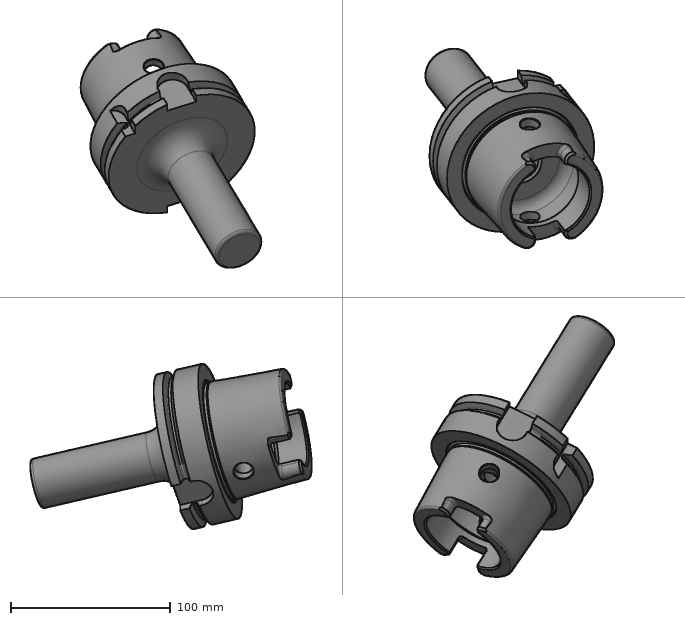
import cadquery as cq
import math

total_length = 170.0

taper_length = 50.0
taper_slope = 0.05
taper_end_x = 47.1
taper_end_radius = 37.9
taper_tip_fillet = 1.5
neck_step = 0.3
neck_start_x = 48.1
neck_radius = taper_end_radius - neck_step

recess_radius = 39.6
recess_depth = 1.5

flange_radius = 50.0
flange_end_x = 79.0
groove_start_x = 66.5
groove_end_x = 73.1
groove_floor_start_x = 68.2
groove_floor_end_x = 71.2
groove_radius = 45.9
groove_fillet = 1.0

shank_radius = 16.0
shank_root_fillet = 15.0
shank_tip_fillet = 2.0

bore_radius = 26.5
bore_chamfer = 1.0
clamp_edge_x = 19.4
undercut_radius = 31.5
bore_floor_x = 46.2
bore_floor_fillet = 6.8
clamp_cone_angle = 60.0

socket_radius = 11.0
socket_chamfer = 1.7
socket_depth = 8.5

slot_half_width = 9.9
slot_depth_top = 10.0
slot_depth_bottom = 15.0
slot_flare_radius = 5.1
slot_flare_start_z = 26.9
slot_floor_fillet = 2.0
slot_mouth_chamfer = 1.5
slot_mouth_angle = 45.0

cross_hole_x = 34.7
cross_hole_radius = 6.1
cross_hole_chamfer = 0.3

notch_start_x = 54.9
notch_half_width = 9.9
notch_floor_z = 43.4
corner_notch_offset = 31.8
corner_notch_radius = 7.6

margin = 8.5


def revolve_about_x(profile):
    """Close a half profile drawn in XY and turn it about the X axis."""
    return profile.close().revolve(360, (0, 0, 0), (1, 0, 0))


def holder_body():
    """Solid turned shape: taper, neck, flange and shank."""
    tip_radius = taper_end_radius - taper_slope * taper_end_x
    shank_start_x = flange_end_x + shank_root_fillet
    arc_mid = shank_root_fillet * (1 - math.sqrt(0.5))
    profile = (
        cq.Workplane("XY")
        .moveTo(0, 0)
        .lineTo(0, tip_radius)
        .lineTo(taper_end_x, taper_end_radius)
        .lineTo(neck_start_x, neck_radius)
        .lineTo(taper_length, neck_radius)
        .lineTo(taper_length + recess_depth, neck_radius + recess_depth)
        .lineTo(taper_length + recess_depth, recess_radius)
        .lineTo(taper_length, recess_radius)
        .lineTo(taper_length, flange_radius)
        .lineTo(flange_end_x, flange_radius)
        .lineTo(flange_end_x, shank_radius + shank_root_fillet)
        .threePointArc(
            (flange_end_x + arc_mid, shank_radius + arc_mid),
            (shank_start_x, shank_radius),
        )
        .lineTo(total_length, shank_radius)
        .lineTo(total_length, 0)
    )
    body = revolve_about_x(profile).faces("<X").edges().fillet(taper_tip_fillet)
    return body.faces(">X").edges().fillet(shank_tip_fillet)


def gripper_groove():
    """Ring with sloping sides and rounded floor corners."""
    groove_slope = (groove_floor_start_x - groove_start_x) / (flange_radius - groove_radius)
    outer_radius = flange_radius + margin
    outer_run = margin * groove_slope
    profile = (
        cq.Workplane("XY")
        .moveTo(groove_start_x - outer_run, outer_radius)
        .lineTo(groove_floor_start_x, groove_radius)
        .lineTo(groove_floor_end_x, groove_radius)
        .lineTo(groove_end_x + outer_run, outer_radius)
    )
    ring = revolve_about_x(profile)
    return ring.edges(cq.selectors.RadiusNthSelector(0)).fillet(groove_fillet)


def clamping_bore():
    """Bore with an undercut behind the clamping edge and a socket in its floor."""
    cone_run = (undercut_radius - bore_radius) / math.tan(math.radians(clamp_cone_angle))
    arc_mid = bore_floor_fillet * (1 - math.sqrt(0.5))
    profile = (
        cq.Workplane("XY")
        .moveTo(0, 0)
        .lineTo(0, bore_radius + bore_chamfer)
        .lineTo(bore_chamfer, bore_radius)
        .lineTo(clamp_edge_x, bore_radius)
        .lineTo(clamp_edge_x + cone_run, undercut_radius)
        .lineTo(bore_floor_x - bore_floor_fillet, undercut_radius)
        .threePointArc(
            (bore_floor_x - arc_mid, undercut_radius - arc_mid),
            (bore_floor_x, undercut_radius - bore_floor_fillet),
        )
        .lineTo(bore_floor_x, socket_radius + socket_chamfer)
        .lineTo(bore_floor_x + socket_chamfer, socket_radius)
        .lineTo(bore_floor_x + socket_depth, socket_radius)
        .lineTo(bore_floor_x + socket_depth, 0)
    )
    return revolve_about_x(profile)


def slot_section(flare_radius, flare_y):
    """Slot outline on the +Z side; its walls flare outwards near the outer surface."""
    half_width = flare_y - flare_radius
    flare_z = slot_flare_start_z + flare_radius
    arc_mid = flare_radius * (1 - math.sqrt(0.5))
    top_z = taper_end_radius + margin
    wide_y = flare_y + margin
    return (
        cq.Workplane("YZ")
        .moveTo(-half_width, 0)
        .lineTo(-half_width, slot_flare_start_z)
        .threePointArc((-half_width - arc_mid, flare_z - arc_mid), (-flare_y, flare_z))
        .lineTo(-wide_y, flare_z)
        .lineTo(-wide_y, top_z)
        .lineTo(wide_y, top_z)
        .lineTo(wide_y, flare_z)
        .lineTo(flare_y, flare_z)
        .threePointArc((half_width + arc_mid, flare_z - arc_mid), (half_width, slot_flare_start_z))
        .lineTo(half_width, 0)
        .close()
    )


def drive_slot(depth):
    """Slot on the +Z side with filleted floor corners and chamfered mouth edges."""
    flare_y = slot_half_width + slot_flare_radius
    slot = slot_section(slot_flare_radius, flare_y).extrude(depth)
    floor_corners = slot.faces(">X").edges("not (<Z or >Z or <Y or >Y)")
    slot = floor_corners.fillet(slot_floor_fillet)
    mouth = slot_section(slot_flare_radius - slot_mouth_chamfer, flare_y)
    return slot.union(mouth.extrude(slot_mouth_chamfer, taper=slot_mouth_angle))


def drill_cross_hole(body):
    """Hole right through the taper along Z, with both rims chamfered."""
    hole = (
        cq.Workplane("XY")
        .center(cross_hole_x, 0)
        .circle(cross_hole_radius)
        .extrude(taper_end_radius + margin, both=True)
    )
    rim_reach = cross_hole_radius + cross_hole_chamfer
    rims = cq.selectors.BoxSelector(
        (cross_hole_x - rim_reach, -rim_reach, -taper_end_radius),
        (cross_hole_x + rim_reach, rim_reach, taper_end_radius),
        boundingbox=True,
    )
    return body.cut(hole).edges("not |Z").edges(rims).chamfer(cross_hole_chamfer)


def centre_notch():
    """Round-ended notch on the +Z side of the flange, open to the shank."""
    round_centre_x = notch_start_x + notch_half_width
    length = flange_end_x + margin - round_centre_x
    floor = cq.Workplane("XY", origin=(round_centre_x, 0, notch_floor_z))
    round_end = floor.circle(notch_half_width).extrude(flange_radius)
    channel = floor.rect(length, 2 * notch_half_width, centered=(False, True)).extrude(flange_radius)
    return channel.union(round_end)


def corner_notch():
    """Corner cut on the -Y +Z side of the flange, open to the shank."""
    length = flange_end_x + margin - notch_start_x
    return (
        cq.Workplane("XY", origin=(notch_start_x, -corner_notch_offset, corner_notch_offset))
        .rect(length, -flange_radius, centered=False)
        .extrude(flange_radius)
        .edges("|Z and <X and >Y")
        .fillet(corner_notch_radius)
    )


def opposite(cutter):
    """The same cutter turned to the -Z side."""
    return cutter.rotate((0, 0, 0), (1, 0, 0), 180)


result = (
    drill_cross_hole(holder_body())
    .cut(gripper_groove())
    .cut(clamping_bore())
    .cut(drive_slot(slot_depth_top))
    .cut(opposite(drive_slot(slot_depth_bottom)))
    .cut(centre_notch())
    .cut(opposite(centre_notch()))
    .cut(corner_notch())
)